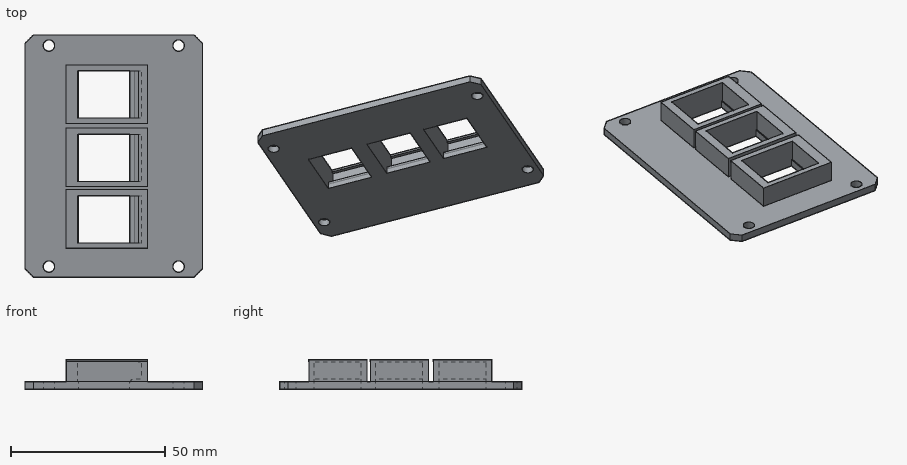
import cadquery as cq

plate_width = 57.6
plate_length = 78.6
plate_thickness = 2.5
corner_chamfer = 2.75

hole_diameter = 3.6
hole_spacing_x = 42.05
hole_spacing_y = 71.7

total_height = 9.7
frame_left = -15.5
frame_width = 26.5
frame_length = 18.95
frame_centers_y = (-20.35, -0.4, 20.05)

lip_height = 0.55
lip_overhang = 0.1

window_left = -11.8
window_right = 8.0
window_length = 15.25
window_centers_y = (-20.5, -0.55, 20.05)
undercut_depth = 1.0
undercut_roof = 0.8
plate_ledge = 0.3

rail_left = 5.1
rail_top = 3.45
rail_nose_radius = 1.65


def box_between(x_min, x_max, y_min, y_max, z_min, z_max):
    """Axis-aligned box given by its limits."""
    size = (x_max - x_min, y_max - y_min, z_max - z_min)
    return cq.Workplane("XY").box(*size, centered=False).translate((x_min, y_min, z_min))


def make_plate():
    """Flat plate with chamfered corners and four mounting holes."""
    return (
        cq.Workplane("XY")
        .rect(plate_width, plate_length)
        .extrude(plate_thickness)
        .edges("|Z")
        .chamfer(corner_chamfer)
        .faces(">Z")
        .workplane()
        .rect(hole_spacing_x, hole_spacing_y, forConstruction=True)
        .vertices()
        .hole(hole_diameter)
    )


def make_frame(center_y):
    """Solid frame block with the lip on its -Y side."""
    frame_right = frame_left + frame_width
    front = center_y - frame_length / 2
    back = center_y + frame_length / 2
    block = box_between(frame_left, frame_right, front, back, 0, total_height)
    lip = box_between(
        frame_left, frame_right, front - lip_overhang, back, total_height - lip_height, total_height
    )
    return block.union(lip)


def make_window(center_y):
    """Through opening, with a narrow ledge left at plate level on its -X side.

    The +X wall is undercut below a thin roof.
    """
    front = center_y - window_length / 2
    back = center_y + window_length / 2
    upper = box_between(window_left, window_right, front, back, plate_thickness, total_height)
    lower = box_between(window_left + plate_ledge, window_right, front, back, 0, plate_thickness)
    undercut = box_between(
        window_right,
        window_right + undercut_depth,
        front,
        back,
        plate_thickness,
        total_height - undercut_roof,
    )
    return upper.union(lower).union(undercut)


def make_rail(center_y):
    """Rail crossing the window, with its upper free edge rounded."""
    front = center_y - window_length / 2
    back = center_y + window_length / 2
    rail = box_between(rail_left, window_right + undercut_depth, front, back, 0, rail_top)
    return rail.edges("|Y and >Z and <X").fillet(rail_nose_radius)


result = make_plate()
for frame_y, window_y in zip(frame_centers_y, window_centers_y):
    result = result.union(make_frame(frame_y))
    result = result.cut(make_window(window_y))
    result = result.union(make_rail(window_y))